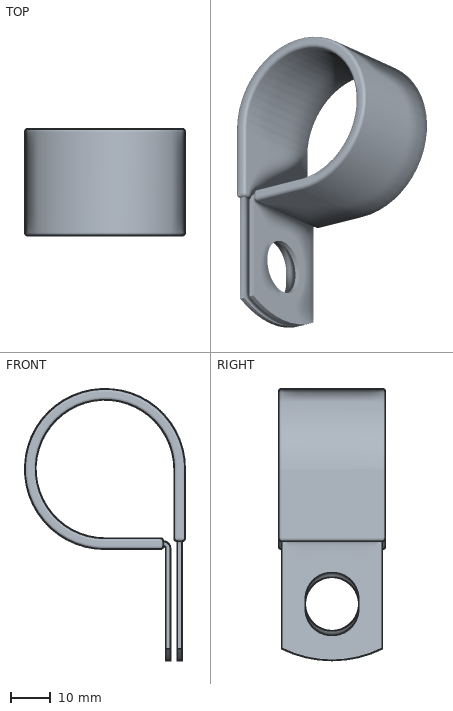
import cadquery as cq
import math


BORE_DIAMETER = 34.925
STRAP_THICKNESS = 1.22
STRAP_WIDTH = 25.4
CUSHION_COVER = 0.794
CUSHION_WIDTH = 26.99
TOTAL_HEIGHT = 68.66
TAB_GAP = 1.69
BEND_INNER_RADIUS = 0.61
HOLE_DIAMETER = 13.494
HOLE_ABOVE_TIP = 14.288
SLOT_LENGTH = 15.875
TIP_RADIUS = 28.575

BORE_RADIUS = BORE_DIAMETER / 2
STRAP_INNER_RADIUS = BORE_RADIUS + CUSHION_COVER
STRAP_OUTER_RADIUS = STRAP_INNER_RADIUS + STRAP_THICKNESS
CUSHION_OUTER_RADIUS = STRAP_OUTER_RADIUS + CUSHION_COVER

TIP_Z = CUSHION_OUTER_RADIUS - TOTAL_HEIGHT
HOLE_Z = TIP_Z + HOLE_ABOVE_TIP
INNER_TAB_RIGHT_X = STRAP_INNER_RADIUS - TAB_GAP
INNER_TAB_LEFT_X = INNER_TAB_RIGHT_X - STRAP_THICKNESS
BEND_OUTER_RADIUS = BEND_INNER_RADIUS + STRAP_THICKNESS
BEND_X = INNER_TAB_RIGHT_X - BEND_OUTER_RADIUS
BEND_Z = -STRAP_INNER_RADIUS - BEND_OUTER_RADIUS

CUSHION_END_X = BEND_X
CUSHION_END_Z = -STRAP_INNER_RADIUS

DIAGONAL = math.sqrt(0.5)


def loop_mid_point(radius):
    """Middle of the 270 degree loop arc from +X, over the top, round to -Z."""
    return (-radius * DIAGONAL, radius * DIAGONAL)


def bend_mid_point(radius):
    """Middle of the quarter-turn arc that leads into the inner tab."""
    return (BEND_X + radius * DIAGONAL, BEND_Z + radius * DIAGONAL)


def make_cushion():
    """Loop with two straight runs and every exposed edge rounded."""
    body = (
        cq.Workplane("XZ")
        .moveTo(CUSHION_OUTER_RADIUS, CUSHION_END_Z)
        .lineTo(CUSHION_OUTER_RADIUS, 0)
        .threePointArc(loop_mid_point(CUSHION_OUTER_RADIUS), (0, -CUSHION_OUTER_RADIUS))
        .lineTo(CUSHION_END_X, -CUSHION_OUTER_RADIUS)
        .lineTo(CUSHION_END_X, -BORE_RADIUS)
        .lineTo(0, -BORE_RADIUS)
        .threePointArc(loop_mid_point(BORE_RADIUS), (BORE_RADIUS, 0))
        .lineTo(BORE_RADIUS, CUSHION_END_Z)
        .close()
        .extrude(CUSHION_WIDTH / 2, both=True)
    )
    end_middle_radius = (BORE_RADIUS + CUSHION_OUTER_RADIUS) / 2
    lower_end = cq.NearestToPointSelector((CUSHION_END_X, 0, -end_middle_radius))
    vertical_end = cq.NearestToPointSelector((end_middle_radius, 0, CUSHION_END_Z))
    exposed_edges = (
        body.faces("<Y or >Y")
        .add(body.faces(lower_end))
        .add(body.faces(vertical_end))
        .edges()
    )
    return body.newObject(exposed_edges.vals()).fillet(CUSHION_COVER)


def make_strap():
    """Strap of constant thickness, square-ended at the tab tips."""
    return (
        cq.Workplane("XZ")
        .moveTo(STRAP_OUTER_RADIUS, TIP_Z)
        .lineTo(STRAP_OUTER_RADIUS, 0)
        .threePointArc(loop_mid_point(STRAP_OUTER_RADIUS), (0, -STRAP_OUTER_RADIUS))
        .lineTo(BEND_X, -STRAP_OUTER_RADIUS)
        .threePointArc(bend_mid_point(BEND_INNER_RADIUS), (INNER_TAB_LEFT_X, BEND_Z))
        .lineTo(INNER_TAB_LEFT_X, TIP_Z)
        .lineTo(INNER_TAB_RIGHT_X, TIP_Z)
        .lineTo(INNER_TAB_RIGHT_X, BEND_Z)
        .threePointArc(bend_mid_point(BEND_OUTER_RADIUS), (BEND_X, -STRAP_INNER_RADIUS))
        .lineTo(0, -STRAP_INNER_RADIUS)
        .threePointArc(loop_mid_point(STRAP_INNER_RADIUS), (STRAP_INNER_RADIUS, 0))
        .lineTo(STRAP_INNER_RADIUS, TIP_Z)
        .close()
        .extrude(STRAP_WIDTH / 2, both=True)
    )


def make_strap_outline():
    """Block as wide as the strap with the curved tab tip and the round bolt hole."""
    half_width = STRAP_WIDTH / 2
    tip_rise = TIP_RADIUS - math.sqrt(TIP_RADIUS**2 - half_width**2)
    corner_z = TIP_Z + tip_rise
    return (
        cq.Workplane("YZ")
        .moveTo(-half_width, corner_z)
        .threePointArc((0, TIP_Z), (half_width, corner_z))
        .lineTo(half_width, CUSHION_OUTER_RADIUS)
        .lineTo(-half_width, CUSHION_OUTER_RADIUS)
        .close()
        .moveTo(0, HOLE_Z)
        .circle(HOLE_DIAMETER / 2)
        .extrude(CUSHION_OUTER_RADIUS, both=True)
    )


def make_outer_tab_slot():
    """Cutter that lengthens the bolt hole of the outer tab along Z."""
    return (
        cq.Workplane("YZ", origin=(STRAP_INNER_RADIUS, 0, HOLE_Z))
        .slot2D(SLOT_LENGTH, HOLE_DIAMETER, angle=90)
        .extrude(STRAP_THICKNESS)
    )


strap = make_strap().intersect(make_strap_outline()).cut(make_outer_tab_slot())
result = make_cushion().union(strap)